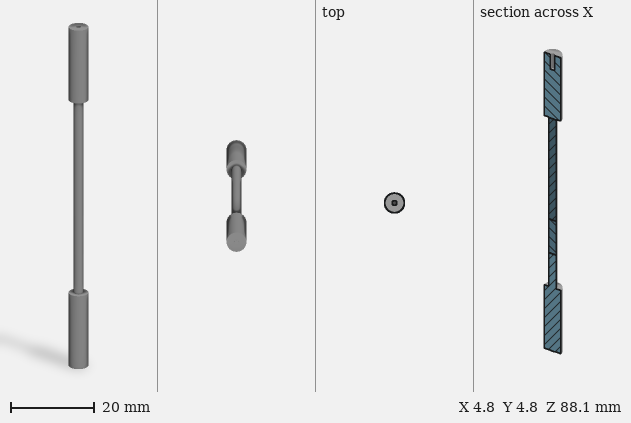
import cadquery as cq

total_length = 88.1
sleeve_diameter = 4.8
sleeve_length = 18.9
rod_diameter = 2.3

stub_length = 10.0
spacer_length = 10.0
long_rod_length = 30.0

socket_diameter = 1.15
socket_depth = 4.4
tip_diameter = 1.0
tip_length = total_length - 2 * sleeve_length - stub_length - spacer_length - long_rod_length

lower_sleeve_bottom = tip_length
stub_bottom = lower_sleeve_bottom + sleeve_length
spacer_bottom = stub_bottom + stub_length
long_rod_bottom = spacer_bottom + spacer_length
upper_sleeve_bottom = long_rod_bottom + long_rod_length


def cylinder(diameter, length, bottom):
    """Upright cylinder centred on the Z axis."""
    return cq.Workplane("XY").workplane(offset=bottom).circle(diameter / 2).extrude(length)


def make_lower_end():
    """Lower sleeve with its contact tip below and its rod stub above."""
    tip = cylinder(tip_diameter, tip_length, 0)
    sleeve = cylinder(sleeve_diameter, sleeve_length, lower_sleeve_bottom)
    stub = cylinder(rod_diameter, stub_length, stub_bottom)
    return tip.union(sleeve).union(stub)


def make_spacer():
    """Short middle section of the rod."""
    return cylinder(rod_diameter, spacer_length, spacer_bottom)


def make_long_rod():
    """Long section of the rod below the upper sleeve."""
    return cylinder(rod_diameter, long_rod_length, long_rod_bottom)


def make_upper_sleeve():
    """Upper sleeve with a blind socket in its top face."""
    sleeve = cylinder(sleeve_diameter, sleeve_length, upper_sleeve_bottom)
    socket = cylinder(socket_diameter, socket_depth, total_length - socket_depth)
    return sleeve.cut(socket)


lower_end = make_lower_end()
spacer = make_spacer()
long_rod = make_long_rod()
upper_sleeve = make_upper_sleeve()

result = cq.Compound.makeCompound([
    lower_end.val(),
    spacer.val(),
    long_rod.val(),
    upper_sleeve.val(),
])